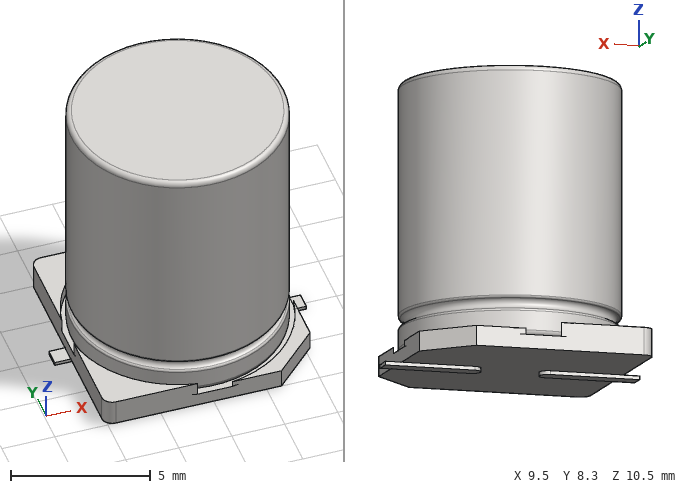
import cadquery as cq
import math

total_height = 10.5
lead_span = 9.5

base_side = 8.3
base_bottom = 0.14
base_top = 1.14
base_low_top = 0.86
corner_radius = 0.4
corner_chamfer = 1.64
recess_radius = 4.2
recess_floor = 0.64

can_radius = 8.0 / 2
rim_radius = 0.2
groove_height = 1.83
groove_radius = 0.2
lip_radius = 0.09

lead_width = 0.65
lead_inner_end = 1.1
lead_corner_radius = 0.3


def make_base():
    """Square base with two chamfered corners, a lower +X half and a round recess."""
    base = (
        cq.Workplane("XY", origin=(0, 0, base_bottom))
        .rect(base_side, base_side)
        .extrude(base_top - base_bottom)
        .edges("|Z and <X").fillet(corner_radius)
        .edges("|Z and >X").chamfer(corner_chamfer)
    )
    low_half = (
        cq.Workplane("XY", origin=(base_side / 4, 0, base_low_top))
        .rect(base_side / 2, base_side)
        .extrude(base_top - base_low_top)
    )
    recess = (
        cq.Workplane("XY", origin=(0, 0, recess_floor))
        .circle(recess_radius)
        .extrude(base_top - recess_floor)
    )
    return base.cut(low_half).cut(recess)


def make_can():
    """Revolved can with rounded rims and a crimp groove with rounded lips."""
    lip_center_radius = can_radius - lip_radius
    lip_offset = math.sqrt((groove_radius + lip_radius) ** 2 - lip_radius ** 2)
    tangent_share = groove_radius / (groove_radius + lip_radius)
    tangent_radius = can_radius - lip_radius * tangent_share
    tangent_offset = lip_offset * tangent_share
    lip_sweep = math.acos(lip_radius / (groove_radius + lip_radius))
    lip_mid_angle = lip_sweep / 2
    lip_mid_radius = lip_center_radius + lip_radius * math.cos(lip_mid_angle)
    lip_mid_offset = lip_offset - lip_radius * math.sin(lip_mid_angle)

    rim_start = can_radius - rim_radius
    rim_mid = rim_start + rim_radius * math.sqrt(0.5)
    rim_mid_inset = rim_radius * (1 - math.sqrt(0.5))
    profile = (
        cq.Workplane("XZ")
        .moveTo(0, recess_floor)
        .lineTo(rim_start, recess_floor)
        .threePointArc((rim_mid, recess_floor + rim_mid_inset), (can_radius, recess_floor + rim_radius))
        .lineTo(can_radius, groove_height - lip_offset)
        .threePointArc(
            (lip_mid_radius, groove_height - lip_mid_offset),
            (tangent_radius, groove_height - tangent_offset),
        )
        .threePointArc(
            (can_radius - groove_radius, groove_height),
            (tangent_radius, groove_height + tangent_offset),
        )
        .threePointArc(
            (lip_mid_radius, groove_height + lip_mid_offset),
            (can_radius, groove_height + lip_offset),
        )
        .lineTo(can_radius, total_height - rim_radius)
        .threePointArc((rim_mid, total_height - rim_mid_inset), (rim_start, total_height))
        .lineTo(0, total_height)
        .close()
    )
    return profile.revolve(360, (0, 0, 0), (0, 1, 0))


def make_lead():
    """Flat lead on the +X side with a rounded inner end."""
    length = lead_span / 2 - lead_inner_end
    return (
        cq.Workplane("XY", origin=(lead_inner_end + length / 2, 0, 0))
        .rect(length, lead_width)
        .extrude(base_bottom)
        .edges("|Z and <X").fillet(lead_corner_radius)
    )


lead = make_lead()
result = make_base().union(make_can()).union(lead).union(lead.mirror("YZ"))